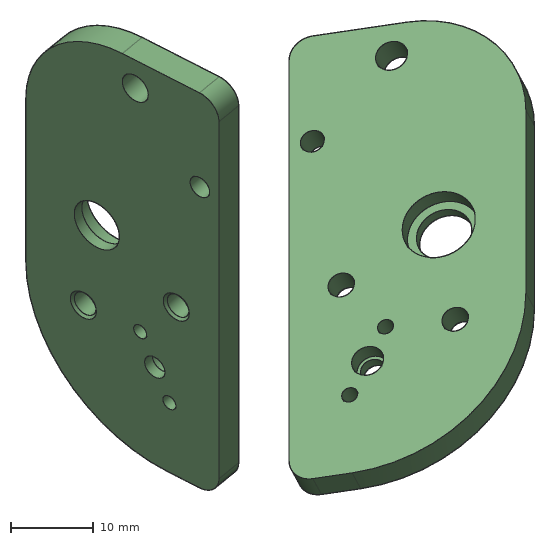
import cadquery as cq

width = 30.0
height = 63
thickness = 3.9
top_left_radius = 15.0
bottom_left_radius = 22.0
right_corner_radius = 3.0

pivot_center = (11.0, 33.5)
pivot_diameter = 7.0
pivot_back_diameter = 9.25

top_center = (17, 58.5)
top_diameter = 4.05
edge_center = (27.0, 48.0)
edge_diameter = 3.0

shaft_center = (20.05, 15.6)
shaft_diameter = 3.15
shaft_back_diameter = 4.05
pin_diameter = 2.0
pin_offset = (2.25, -4.5)

lip_thickness = 1.5

screw_centers = [(8.95, 19.7), (23.4, 26.95)]
screw_diameter = 3.35
screw_mouth_diameter = 4.05


def round_corner(plate, side, end, radius):
    """Round the plate corner where the given side face meets the given end face."""
    return plate.faces(side).edges("|Y").edges(end).fillet(radius)


def cylinder(center, diameter, start=0):
    """Cutter running from the given depth behind the front face to the back face."""
    x, z = center
    return cq.Workplane("XZ", origin=(x, start, z)).circle(diameter / 2).extrude(start - thickness)


def stepped_cutter(center, front_diameter, back_diameter):
    """Through cutter that widens behind the front lip."""
    back_bore = cylinder(center, back_diameter, lip_thickness)
    return cylinder(center, front_diameter).union(back_bore)


def screw_cutter(center):
    """Through cutter with a 45 degree widening at the front face."""
    x, z = center
    mouth_radius = screw_mouth_diameter / 2
    mouth_depth = mouth_radius - screw_diameter / 2
    mouth = cq.Solid.makeCone(
        mouth_radius,
        screw_diameter / 2,
        mouth_depth,
        pnt=cq.Vector(x, 0, z),
        dir=cq.Vector(0, 1, 0),
    )
    return cylinder(center, screw_diameter).union(cq.Workplane(mouth))


result = cq.Workplane("XY").box(width, thickness, height, centered=False)
for end in (">Z", "<Z"):
    result = round_corner(result, ">X", end, right_corner_radius)
result = round_corner(result, "<X", ">Z", top_left_radius)
result = round_corner(result, "<X", "<Z", bottom_left_radius)

result = result.cut(stepped_cutter(pivot_center, pivot_diameter, pivot_back_diameter))

result = result.cut(cylinder(top_center, top_diameter))
result = result.cut(cylinder(edge_center, edge_diameter))

result = result.cut(stepped_cutter(shaft_center, shaft_diameter, shaft_back_diameter))
for side in (-1, 1):
    pin_center = (
        shaft_center[0] + side * pin_offset[0],
        shaft_center[1] + side * pin_offset[1],
    )
    result = result.cut(cylinder(pin_center, pin_diameter))

for center in screw_centers:
    result = result.cut(screw_cutter(center))